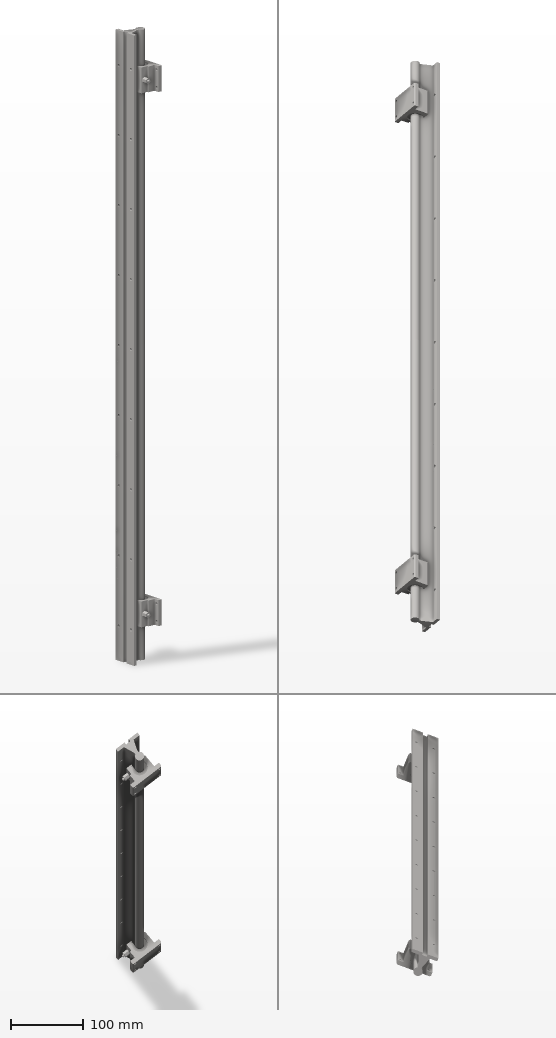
import cadquery as cq

rail_length = 914.0

base_width = 38.0
base_thickness = 4.85
groove_width = 7.0
groove_depth = 4.0
stem_foot_width = 17.0
stem_top_width = 5.5
stem_taper_height = 16.0
rail_hole_diameter = 4.3
rail_hole_spacing_x = 26.0
rail_hole_count = 9
rail_hole_pitch = rail_length / rail_hole_count

shaft_diameter = 13.0
shaft_height_above_base = 24.0

block_length = 37.5
block_width = 35.0
block_height = 28.0
block_end_gap = 51.0
block_corner_chamfer = 2.0
bearing_wall = 4.7
wall_above_bearing = 6.0
bearing_recess_depth = 2.0
rail_opening_width = 12.0
notch_depth = 3.0

flange_width = 51.0
flange_thickness = 6.0
flange_edge_chamfer = 1.4
flange_hole_diameter = 3.9
flange_hole_spacing_x = 43.0
flange_hole_spacing_z = 26.0

fitting_height = 23.0
hex_across_flats = 7.0
hex_length = 8.0
nipple_diameter = 4.0
nipple_length = 3.0

shaft_radius = shaft_diameter / 2
shaft_height = base_thickness + shaft_height_above_base
bearing_radius = shaft_radius + bearing_wall
block_top = shaft_height + bearing_radius + wall_above_bearing
block_bottom = block_top - block_height
flange_bottom = block_top - flange_thickness
block_offset = rail_length / 2 - block_end_gap - block_length / 2


def bar_along_z(outline, length):
    """Extrude an XY outline along Z, centred on Z = 0."""
    return outline.extrude(length / 2, both=True)


def round_bar(radius, length):
    """Cylinder on the shaft axis, centred on Z = 0."""
    return bar_along_z(cq.Workplane("XY").center(0, shaft_height).circle(radius), length)


def box_between(x_min, x_max, y_min, y_max, length):
    """Rectangular bar along Z with the given X and Y limits."""
    outline = cq.Workplane("XY").center((x_min + x_max) / 2, (y_min + y_max) / 2)
    return bar_along_z(outline.rect(x_max - x_min, y_max - y_min), length)


def make_rail():
    stem_shoulder = base_thickness + stem_taper_height
    right_side = [
        (groove_width / 2, groove_depth),
        (groove_width / 2, 0),
        (base_width / 2, 0),
        (base_width / 2, base_thickness),
        (stem_foot_width / 2, base_thickness),
        (stem_top_width / 2, stem_shoulder),
        (stem_top_width / 2, shaft_height),
    ]
    left_side = [(-x, y) for x, y in reversed(right_side)]
    rail = bar_along_z(cq.Workplane("XY").polyline(right_side + left_side).close(), rail_length)
    saddle = round_bar(shaft_radius, rail_length)
    holes = (
        cq.Workplane("XZ")
        .rarray(rail_hole_spacing_x, rail_hole_pitch, 2, rail_hole_count)
        .circle(rail_hole_diameter / 2)
        .extrude(-base_thickness)
    )
    return rail.cut(saddle).cut(holes)


def make_fitting(seat_x):
    """Hexagon with flats facing +Z and -Z, ending in a round nipple toward +X."""
    seat = cq.Workplane("YZ", origin=(seat_x, fitting_height, 0))
    hexagon = seat.polygon(6, hex_across_flats, circumscribed=True).extrude(hex_length)
    return hexagon.faces(">X").workplane().circle(nipple_diameter / 2).extrude(nipple_length)


def make_block(center_z):
    half_width = block_width / 2
    half_flange = flange_width / 2
    half_opening = rail_opening_width / 2
    notch_x = half_width - notch_depth

    body = box_between(-half_width, half_width, block_bottom, block_top, block_length)
    body = body.edges("|Z and <X and <Y").chamfer(block_corner_chamfer)
    flange = box_between(-half_flange, half_flange, flange_bottom, block_top, block_length)
    flange = flange.edges("|Z and >Y").chamfer(flange_edge_chamfer)
    notch = box_between(notch_x, half_width, block_bottom, shaft_height, block_length)
    block = body.union(flange).cut(notch).union(make_fitting(notch_x))

    opening = box_between(-half_opening, half_opening, block_bottom, shaft_height, block_length)
    block = block.cut(round_bar(shaft_radius, block_length)).cut(opening)

    recess = round_bar(bearing_radius, bearing_recess_depth)
    recess_z = (block_length - bearing_recess_depth) / 2
    for side in (-1, 1):
        block = block.cut(recess.translate((0, 0, side * recess_z)))

    holes = (
        cq.Workplane("XZ", origin=(0, flange_bottom, 0))
        .rarray(flange_hole_spacing_x, flange_hole_spacing_z, 2, 2)
        .circle(flange_hole_diameter / 2)
        .extrude(-flange_thickness)
    )
    return block.cut(holes).translate((0, 0, center_z))


rail = make_rail()
shaft = round_bar(shaft_radius, rail_length)
blocks = [make_block(side * block_offset) for side in (-1, 1)]

result = cq.Compound.makeCompound([rail.val(), shaft.val(), *(block.val() for block in blocks)])